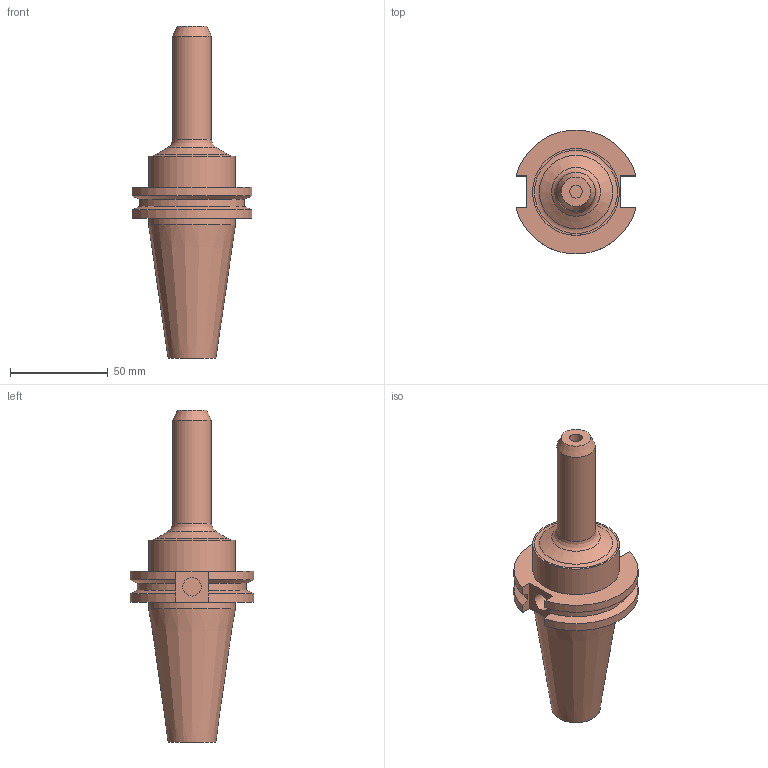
import cadquery as cq
import math

gauge_radius = 44.45 / 2
taper_length = 68.25
taper_ratio = 7 / 24
taper_end_radius = gauge_radius - taper_length * taper_ratio / 2

flange_radius = 63.5 / 2
flange_bottom_z = 3.175
flange_top_z = 19.05
groove_center_z = (flange_bottom_z + flange_top_z) / 2
groove_floor_radius = 28.0
groove_floor_width = 3.65
groove_mouth_width = 7.1

slot_width = 16.38
slot_floor_left = 25.2
slot_floor_right = 22.6
slot_hole_diameter = 9.4
slot_hole_depth = 8.0

total_length = 169.85
nose_top_z = total_length - taper_length
nose_radius = 9.95
nose_tip_radius = 7.5
nose_tip_length = 5.2
nose_length = 57.95
nose_straight_end_z = nose_top_z - nose_length
nose_bore_diameter = 6.5
nose_bore_depth = 10.0

shoulder_slope = math.radians(30)
blend_radius = 5.0
cone_end_radius = 18.75


def shoulder_points():
    """Return (radius, z) from the body's top face up to the foot of the nose."""
    upper_turn = math.pi / 2 - shoulder_slope
    cone_start_radius = nose_radius + blend_radius * (1 - math.cos(upper_turn))
    cone_start_z = nose_straight_end_z - blend_radius * math.sin(upper_turn)
    cone_height = (cone_end_radius - cone_start_radius) * math.tan(shoulder_slope)
    cone_end_z = cone_start_z - cone_height

    lower_center_radius = cone_end_radius + blend_radius * math.sin(shoulder_slope)
    lower_center_z = cone_end_z + blend_radius * math.cos(shoulder_slope)
    body_top_z = lower_center_z - blend_radius
    half_slope = shoulder_slope / 2
    lower_middle = (
        lower_center_radius - blend_radius * math.sin(half_slope),
        lower_center_z - blend_radius * math.cos(half_slope),
    )

    upper_center_radius = nose_radius + blend_radius
    half_turn = upper_turn / 2
    upper_middle = (
        upper_center_radius - blend_radius * math.cos(half_turn),
        nose_straight_end_z - blend_radius * math.sin(half_turn),
    )
    return {
        "face_edge": (lower_center_radius, body_top_z),
        "lower_middle": lower_middle,
        "cone_end": (cone_end_radius, cone_end_z),
        "cone_start": (cone_start_radius, cone_start_z),
        "upper_middle": upper_middle,
        "nose_foot": (nose_radius, nose_straight_end_z),
    }


def turned_body():
    """Revolve the half profile of shank, flange, body, shoulder and nose."""
    shoulder = shoulder_points()
    body_top_z = shoulder["face_edge"][1]
    half_floor = groove_floor_width / 2
    half_mouth = groove_mouth_width / 2
    profile = (
        cq.Workplane("XZ")
        .moveTo(0, -taper_length)
        .lineTo(taper_end_radius, -taper_length)
        .lineTo(gauge_radius, 0)
        .lineTo(gauge_radius, flange_bottom_z)
        .lineTo(flange_radius, flange_bottom_z)
        .lineTo(flange_radius, groove_center_z - half_mouth)
        .lineTo(groove_floor_radius, groove_center_z - half_floor)
        .lineTo(groove_floor_radius, groove_center_z + half_floor)
        .lineTo(flange_radius, groove_center_z + half_mouth)
        .lineTo(flange_radius, flange_top_z)
        .lineTo(gauge_radius, flange_top_z)
        .lineTo(gauge_radius, body_top_z)
        .lineTo(*shoulder["face_edge"])
        .threePointArc(shoulder["lower_middle"], shoulder["cone_end"])
        .lineTo(*shoulder["cone_start"])
        .threePointArc(shoulder["upper_middle"], shoulder["nose_foot"])
        .lineTo(nose_radius, nose_top_z - nose_tip_length)
        .lineTo(nose_tip_radius, nose_top_z)
        .lineTo(0, nose_top_z)
        .close()
    )
    return profile.revolve(360, (0, 0, 0), (0, 1, 0))


def drive_slot(floor_distance, side):
    """Cutter for a slot across the flange; side is -1 for -X and +1 for +X."""
    slot_length = flange_radius
    slot_center_x = side * (floor_distance + slot_length / 2)
    slot_height = flange_top_z - flange_bottom_z
    return (
        cq.Workplane("XY", origin=(slot_center_x, 0, flange_bottom_z))
        .rect(slot_length, slot_width)
        .extrude(slot_height)
    )


def slot_hole():
    """Cutter for the radial blind hole in the -X slot floor."""
    return (
        cq.Workplane("YZ", origin=(-slot_floor_left, 0, groove_center_z))
        .circle(slot_hole_diameter / 2)
        .extrude(slot_hole_depth)
    )


def nose_bore():
    """Cutter for the axial blind bore in the nose tip."""
    return (
        cq.Workplane("XY", origin=(0, 0, nose_top_z - nose_bore_depth))
        .circle(nose_bore_diameter / 2)
        .extrude(nose_bore_depth)
    )


result = (
    turned_body()
    .cut(drive_slot(slot_floor_left, -1))
    .cut(drive_slot(slot_floor_right, 1))
    .cut(slot_hole())
    .cut(nose_bore())
)